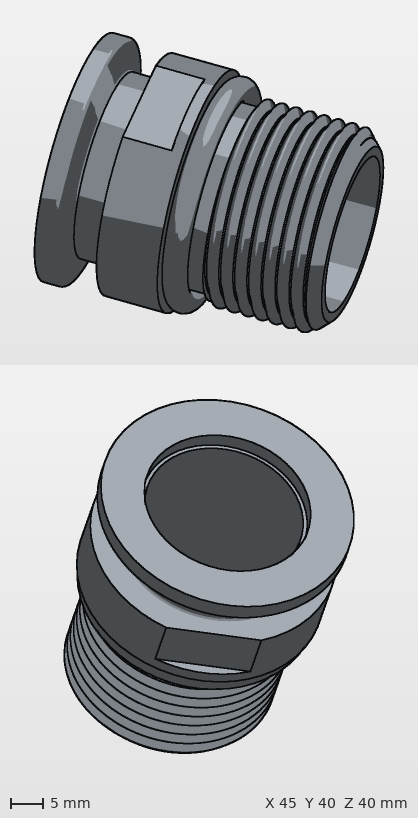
import cadquery as cq
import math


LENGTH = 45.0
COLLAR_START = 10.0
COLLAR_END = 20.0
FLAT_END = 18.0
THREAD_START = 26.0

FLANGE_RADIUS = 40.0 / 2
FLANGE_RIM_WIDTH = 3.1
FLANGE_BACK_ANGLE = 15.0
FLANGE_EDGE_ROUND = 0.68
EDGE_TOLERANCE = 0.05

NECK_RADIUS = 30.0 / 2
FLANGE_NECK_FILLET = 0.3
COLLAR_NECK_FILLET = 0.5
COLLAR_RADIUS = 39.0 / 2
FLAT_HEIGHT = 18.0
BORE_RADIUS = 25.0 / 2
RECESS_RADIUS = 26.3 / 2
RECESS_DEPTH = 2.5

EIGHT_TURNS_LENGTH = 18.45
THREAD_PITCH = EIGHT_TURNS_LENGTH / 8
THREAD_MAJOR_RADIUS = 16.6
THREAD_MINOR_RADIUS = 15.1
THREAD_FLANK_ANGLE = 27.5
THREAD_ROUND = 0.3
TOE_RISE = 0.01
CORE_RISE = 0.035
RIDGE_SINK = 0.22
CREST_AT_PLUS_Y = 26.35
END_RADIUS = 14.1

RING_SECTION_RADIUS = 2.0


def round_edge(body, x, radius, round_radius):
    """Round the circular edge of the given radius at position x."""
    low = (x - EDGE_TOLERANCE, -radius - EDGE_TOLERANCE, -radius - EDGE_TOLERANCE)
    high = (x + EDGE_TOLERANCE, radius + EDGE_TOLERANCE, radius + EDGE_TOLERANCE)
    edge = cq.selectors.BoxSelector(low, high, boundingbox=True)
    return body.edges(edge).fillet(round_radius)


def turned_body():
    """Flange, neck, collar and seal seat, turned about X."""
    back_run = (FLANGE_RADIUS - NECK_RADIUS) * math.tan(math.radians(FLANGE_BACK_ANGLE))
    profile = (
        cq.Workplane("XY")
        .moveTo(0, 0)
        .lineTo(0, FLANGE_RADIUS)
        .lineTo(FLANGE_RIM_WIDTH, FLANGE_RADIUS)
        .lineTo(FLANGE_RIM_WIDTH + back_run, NECK_RADIUS)
        .lineTo(COLLAR_START, NECK_RADIUS)
        .lineTo(COLLAR_START, COLLAR_RADIUS)
        .lineTo(COLLAR_END, COLLAR_RADIUS)
        .lineTo(COLLAR_END, NECK_RADIUS)
        .lineTo(THREAD_START, NECK_RADIUS)
        .lineTo(THREAD_START, 0)
        .close()
    )
    body = profile.revolve(360, (0, 0, 0), (1, 0, 0))
    body = round_edge(body, FLANGE_RIM_WIDTH, FLANGE_RADIUS, FLANGE_EDGE_ROUND)
    body = round_edge(body, FLANGE_RIM_WIDTH + back_run, NECK_RADIUS, FLANGE_NECK_FILLET)
    body = round_edge(body, COLLAR_START, NECK_RADIUS, COLLAR_NECK_FILLET)
    return body


def wrench_flats(body):
    """Two parallel flats on the top and bottom of the collar."""
    length = FLAT_END - COLLAR_START
    height = COLLAR_RADIUS - FLAT_HEIGHT
    for side in (1, -1):
        cutter = cq.Workplane("XY").box(length, 2 * COLLAR_RADIUS, height)
        body = body.cut(
            cutter.translate((COLLAR_START + length / 2, 0, side * (FLAT_HEIGHT + height / 2)))
        )
    return body


def threaded_end():
    """Threaded cylinder, cut square at its start and chamfered at the open end."""
    start = CREST_AT_PLUS_Y - 2 * THREAD_PITCH
    turns = math.ceil((LENGTH - start) / THREAD_PITCH) + 1
    run = turns * THREAD_PITCH

    flank_sin = math.sin(math.radians(THREAD_FLANK_ANGLE))
    flank_cos = math.cos(math.radians(THREAD_FLANK_ANGLE))
    half_arc = THREAD_ROUND * flank_cos
    crest_edge = THREAD_MAJOR_RADIUS - THREAD_ROUND * (1 - flank_sin)
    root_edge = THREAD_MINOR_RADIUS + THREAD_ROUND * (1 - flank_sin)
    root_centre = THREAD_MINOR_RADIUS + THREAD_ROUND
    flank_foot = THREAD_PITCH / 2 - half_arc
    core_radius = THREAD_MINOR_RADIUS + CORE_RISE
    toe_radius = THREAD_MINOR_RADIUS + TOE_RISE
    toe_gap = math.sqrt(THREAD_ROUND**2 - (THREAD_ROUND - TOE_RISE) ** 2)
    toe = THREAD_PITCH / 2 - toe_gap
    middle_gap = (half_arc + toe_gap) / 2
    root_middle = root_centre - math.sqrt(THREAD_ROUND**2 - middle_gap**2)
    middle = THREAD_PITCH / 2 - middle_gap
    base = toe_radius - RIDGE_SINK

    helix = cq.Wire.makeHelix(THREAD_PITCH, run, core_radius)
    ridge = (
        cq.Workplane("XZ")
        .moveTo(base, -toe)
        .lineTo(toe_radius, -toe)
        .threePointArc((root_middle, -middle), (root_edge, -flank_foot))
        .lineTo(crest_edge, -half_arc)
        .threePointArc((THREAD_MAJOR_RADIUS, 0), (crest_edge, half_arc))
        .lineTo(root_edge, flank_foot)
        .threePointArc((root_middle, middle), (toe_radius, toe))
        .lineTo(base, toe)
        .close()
        .sweep(cq.Workplane(helix), isFrenet=True)
    )
    core = cq.Workplane("XY").circle(core_radius).extrude(run)
    thread = core.union(ridge).rotate((0, 0, 0), (1, 1, 1), 120).translate((start, 0, 0))

    envelope_radius = THREAD_MAJOR_RADIUS + RIDGE_SINK
    envelope = (
        cq.Workplane("YZ", origin=(THREAD_START, 0, 0))
        .circle(envelope_radius)
        .extrude(LENGTH - THREAD_START)
        .faces(">X")
        .chamfer(envelope_radius - END_RADIUS)
    )
    return thread.intersect(envelope)


def bore(body):
    """Through bore with a shallow centring recess in the flange face."""
    passage = cq.Workplane("YZ").circle(BORE_RADIUS).extrude(LENGTH)
    recess = cq.Workplane("YZ").circle(RECESS_RADIUS).extrude(RECESS_DEPTH)
    return body.cut(passage).cut(recess)


def o_ring():
    """Round-section seal lying on the neck against the collar."""
    centre_x = COLLAR_END + RING_SECTION_RADIUS
    centre_y = NECK_RADIUS + RING_SECTION_RADIUS
    section = cq.Workplane("XY").moveTo(centre_x, centre_y).circle(RING_SECTION_RADIUS)
    return section.revolve(360, (0, 0, 0), (1, 0, 0))


blank = wrench_flats(turned_body()).union(threaded_end())
adapter = bore(blank)
seal = o_ring()
result = cq.Compound.makeCompound([*adapter.solids().vals(), *seal.solids().vals()])